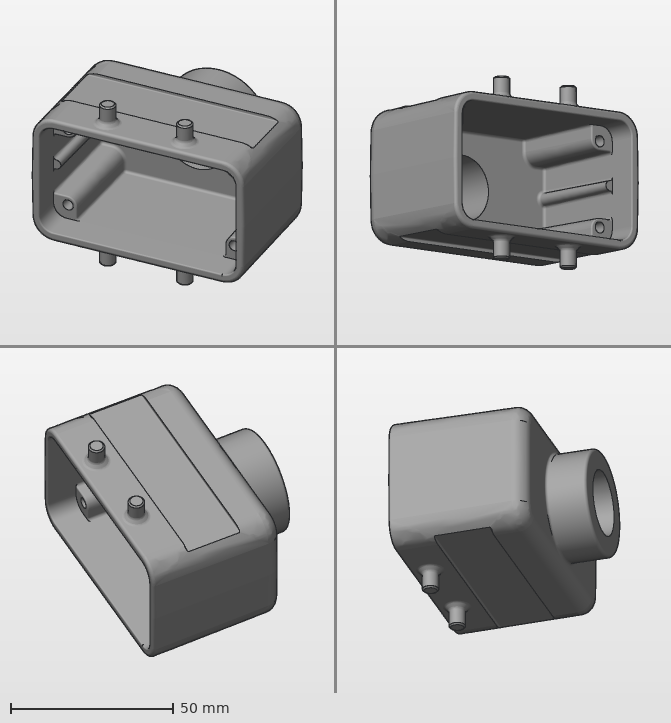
import cadquery as cq
import math


WIDTH = 73.0
BODY_LENGTH = 44.9
TOTAL_LENGTH = 58.0
MOUTH_HALF_HEIGHT = 21.5
REAR_HALF_HEIGHT = 21.1
SIDE_BOW = 0.45
CORNER_RADIUS = 7.4
REAR_RADIUS = 4.7
RIM_RADIUS = 1.0

BOSS_RADIUS = 17.0
BOSS_TIP_RADIUS = 1.0
BOSS_FOOT_RADIUS = 0.9
BORE_RADIUS = 10.45

LEDGE_Y = 9.6
REAR_WALL = 2.9
FLOOR_Y = BODY_LENGTH - REAR_WALL
MOUTH_OPENING = (33.6, 18.7, 4.75)
LEDGE_OPENING = (33.4, 18.4, 4.5)
FLOOR_OPENING = (32.7, 17.9, 3.65)
CAVITY_FILLET = 0.95
MOUTH_FILLET = 0.45

POST_CENTER_X = WIDTH / 2 - CORNER_RADIUS - 0.3
POST_CENTER_Z = MOUTH_HALF_HEIGHT - CORNER_RADIUS - 0.15
POST_FRONT_RADIUS = 3.4
POST_FLOOR_RADIUS = 4.15
POST_EDGE_RADIUS = 0.5
SCREW_X = 28.5
SCREW_Z = 13.5
SCREW_FRONT_RADIUS = 1.75
SCREW_END_RADIUS = 1.4
SCREW_DEPTH = 14.6

RIB_FRONT_RADIUS = 1.6
RIB_FLOOR_RADIUS = 2.05
RIB_CENTER_X = 32.55

RECESS_START_Y = 13.8
RECESS_END_Y = 32.1
RECESS_DEPTH = 1.2
RECESS_FILLET = 0.4

PIN_X = 13.2
PIN_Y = 6.2
PIN_RADIUS = 2.55
PIN_TIP_Z = 57.0 / 2
PIN_TIP_CHAMFER = 0.5
PIN_FLARE = 1.6
PIN_FLARE_RADIUS = 1.0
PIN_FOOT_Z = MOUTH_HALF_HEIGHT - 0.2

TOUCH = 0.1

SIGNS = (-1, 1)
CORNERS = [(sx, sz) for sx in SIGNS for sz in SIGNS]


def section_plane(y):
    """Plane across the hood at the given Y, with its own x along X and y along Z."""
    return cq.Plane(origin=(0, y, 0), xDir=(1, 0, 0), normal=(0, -1, 0))


def near_y(edge, y):
    box = edge.BoundingBox()
    return max(abs(box.ymin - y), abs(box.ymax - y)) < TOUCH


def loft(front, rear):
    return cq.Workplane(cq.Solid.makeLoft([front, rear], True))


def wall_half_height(y):
    """Distance of the drafted outer wall from Z = 0."""
    return MOUTH_HALF_HEIGHT + (REAR_HALF_HEIGHT - MOUTH_HALF_HEIGHT) * y / BODY_LENGTH


def upper_body_section(y):
    half_height = wall_half_height(y)
    half_width = WIDTH / 2
    corner_x = half_width - SIDE_BOW
    points = [
        (half_width, 0),
        (corner_x, half_height),
        (-corner_x, half_height),
        (-half_width, 0),
    ]
    return cq.Workplane(section_plane(y)).polyline(points).close().val()


def make_upper_body():
    """Half of the outer body above Z = 0; its sides meet the lower half at a slight crease."""
    front = upper_body_section(0)
    rear = upper_body_section(BODY_LENGTH)
    body = loft(front, rear)
    for sx in SIGNS:
        corner = (sx * WIDTH / 2, BODY_LENGTH / 2, MOUTH_HALF_HEIGHT)
        body = body.edges(cq.NearestToPointSelector(corner)).fillet(CORNER_RADIUS)
    body = body.faces(">Y").edges("not <Z").fillet(REAR_RADIUS)
    return body.faces("<Y").edges("not <Z").fillet(RIM_RADIUS)


def make_boss():
    boss = cq.Workplane(section_plane(FLOOR_Y)).circle(BOSS_RADIUS).extrude(FLOOR_Y - TOTAL_LENGTH)
    return boss.faces(">Y").edges().fillet(BOSS_TIP_RADIUS)


def opening_section(y, opening):
    half_width, half_height, radius = opening
    outline = cq.Workplane(section_plane(y)).rect(2 * half_width, 2 * half_height).val()
    return outline.fillet2D(radius, outline.Vertices())


def post_section(y, radius, sx, sz):
    """Post outline at Y: a rounded inner corner with straight sides run out past the walls."""
    cx = sx * POST_CENTER_X
    cz = sz * POST_CENTER_Z
    inner_x = cx - sx * radius
    inner_z = cz - sz * radius
    outer_x = sx * WIDTH
    outer_z = sz * WIDTH
    diagonal = radius * math.sqrt(0.5)
    outline = (
        cq.Workplane(section_plane(y))
        .moveTo(outer_x, inner_z)
        .lineTo(cx, inner_z)
        .threePointArc((cx - sx * diagonal, cz - sz * diagonal), (inner_x, cz))
        .lineTo(inner_x, outer_z)
        .lineTo(outer_x, outer_z)
        .close()
    )
    return outline.val()


def make_post(sx, sz):
    return loft(
        post_section(LEDGE_Y, POST_FRONT_RADIUS, sx, sz),
        post_section(FLOOR_Y, POST_FLOOR_RADIUS, sx, sz),
    )


def rib_section(y, radius, sx):
    """Half-round rib outline at Y, run out past the side wall."""
    outline = (
        cq.Workplane(section_plane(y))
        .moveTo(sx * WIDTH, radius)
        .lineTo(sx * RIB_CENTER_X, radius)
        .threePointArc((sx * (RIB_CENTER_X - radius), 0), (sx * RIB_CENTER_X, -radius))
        .lineTo(sx * WIDTH, -radius)
        .close()
    )
    return outline.val()


def make_rib(sx):
    return loft(
        rib_section(LEDGE_Y, RIB_FRONT_RADIUS, sx),
        rib_section(FLOOR_Y, RIB_FLOOR_RADIUS, sx),
    )


def is_deep_corner(edge):
    """True for an edge of the floor, or one running back where a post or rib meets a wall."""
    box = edge.BoundingBox()
    runs_back = box.ylen > (FLOOR_Y - LEDGE_Y) * 0.9
    middle = edge.positionAt(0.5)
    on_wall = abs(middle.x) > FLOOR_OPENING[0] or abs(middle.z) > FLOOR_OPENING[1]
    return near_y(edge, FLOOR_Y) or (runs_back and on_wall)


def make_cavity():
    deep = loft(opening_section(LEDGE_Y, LEDGE_OPENING), opening_section(FLOOR_Y, FLOOR_OPENING))
    for sx, sz in CORNERS:
        deep = deep.cut(make_post(sx, sz))
    for sx in SIGNS:
        deep = deep.cut(make_rib(sx))
    deep = fillet_where(deep, is_deep_corner, CAVITY_FILLET)
    mouth = loft(opening_section(0, MOUTH_OPENING), opening_section(LEDGE_Y, LEDGE_OPENING))
    return deep.union(mouth)


def is_post_front_edge(edge):
    """True for an edge on the rounded outline of a post's front face."""
    middle = edge.positionAt(0.5)
    inward_x = max(POST_CENTER_X - abs(middle.x), 0)
    inward_z = max(POST_CENTER_Z - abs(middle.z), 0)
    on_outline = abs(math.hypot(inward_x, inward_z) - POST_FRONT_RADIUS) < TOUCH
    return near_y(edge, LEDGE_Y) and on_outline


def is_mouth_edge(edge):
    middle = edge.positionAt(0.5)
    half_width, half_height, _ = MOUTH_OPENING
    inside = abs(middle.x) < half_width + TOUCH and abs(middle.z) < half_height + TOUCH
    return near_y(edge, 0) and inside


def make_screw_hole(sx, sz):
    """Blind hole in a post, narrowing toward its end."""
    return cq.Workplane(cq.Solid.makeCone(
        SCREW_FRONT_RADIUS,
        SCREW_END_RADIUS,
        SCREW_DEPTH,
        pnt=cq.Vector(sx * SCREW_X, LEDGE_Y, sz * SCREW_Z),
        dir=cq.Vector(0, 1, 0),
    ))


def make_recess():
    """Cutter for the upper recess, open at both ends along X, its floor parallel to the wall."""
    outline = [
        (RECESS_START_Y, wall_half_height(RECESS_START_Y) - RECESS_DEPTH),
        (RECESS_END_Y, wall_half_height(RECESS_END_Y) - RECESS_DEPTH),
        (RECESS_END_Y, PIN_TIP_Z),
        (RECESS_START_Y, PIN_TIP_Z),
    ]
    slab = cq.Workplane("YZ").polyline(outline).close().extrude(WIDTH / 2, both=True)
    floor_edges = slab.faces("<Z").edges("|X")
    return floor_edges.fillet(RECESS_FILLET)


def make_pin(sx):
    """Upper pin with a flared foot, revolved about its own axis."""
    root_z = PIN_FOOT_Z - 0.7
    neck_z = PIN_FOOT_Z + PIN_FLARE
    flare_radius = PIN_RADIUS + PIN_FLARE
    outline = [
        (0, root_z),
        (flare_radius, root_z),
        (flare_radius, PIN_FOOT_Z),
        (PIN_RADIUS, neck_z),
        (PIN_RADIUS, PIN_TIP_Z - PIN_TIP_CHAMFER),
        (PIN_RADIUS - PIN_TIP_CHAMFER, PIN_TIP_Z),
        (0, PIN_TIP_Z),
    ]
    pin = cq.Workplane("XZ").polyline(outline).close().revolve(360, (0, 0), (0, 1))
    neck = pin.edges(cq.NearestToPointSelector((0, 0, neck_z)))
    return neck.fillet(PIN_FLARE_RADIUS).translate((sx * PIN_X, PIN_Y, 0))


def is_pin_foot(edge):
    """True for the ring where a pin's flare meets the wall."""
    middle = edge.positionAt(0.5)
    from_axis = math.hypot(abs(middle.x) - PIN_X, middle.y - PIN_Y)
    on_flare = PIN_RADIUS + PIN_FLARE / 2 < from_axis < PIN_RADIUS + PIN_FLARE
    at_wall = abs(abs(middle.z) - wall_half_height(middle.y)) < TOUCH
    return on_flare and at_wall


def is_boss_foot(edge):
    """True for an edge where the boss meets the rear of the body."""
    middle = edge.positionAt(0.5)
    on_boss = abs(math.hypot(middle.x, middle.z) - BOSS_RADIUS) < TOUCH
    return near_y(edge, BODY_LENGTH) and on_boss


def fillet_where(part, test, radius):
    chosen = [edge for edge in part.edges().vals() if test(edge)]
    return part.newObject(chosen).fillet(radius)


upper_body = make_upper_body()
hood = upper_body.union(upper_body.mirror("XY")).union(make_boss())
hood = fillet_where(hood, is_boss_foot, BOSS_FOOT_RADIUS)

for sign_x in SIGNS:
    upper_pin = make_pin(sign_x)
    hood = hood.union(upper_pin).union(upper_pin.mirror("XY"))
hood = fillet_where(hood, is_pin_foot, PIN_FLARE_RADIUS)

upper_recess = make_recess()
hood = hood.cut(upper_recess).cut(upper_recess.mirror("XY"))

hood = hood.cut(make_cavity())
hood = fillet_where(hood, is_post_front_edge, POST_EDGE_RADIUS)
hood = fillet_where(hood, is_mouth_edge, MOUTH_FILLET)
for sign_x, sign_z in CORNERS:
    hood = hood.cut(make_screw_hole(sign_x, sign_z))

bore = cq.Workplane(section_plane(0)).circle(BORE_RADIUS).extrude(-TOTAL_LENGTH)
result = hood.cut(bore)